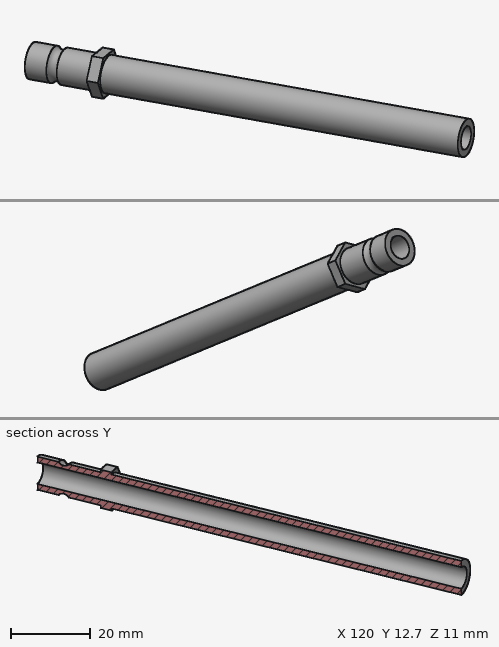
import cadquery as cq
import math

tube_length = 120.0
tube_diameter = 9.8
bore_diameter = 6.0

plug_diameter = 9.6

groove_start = 6.0
groove_width = 2.9
groove_depth = 0.7

collar_start = 17.9
collar_width = 3.1
collar_across_flats = 11.0


def cylinder_along_x(diameter, start, end):
    return cq.Workplane("YZ", origin=(start, 0, 0)).circle(diameter / 2).extrude(end - start)


def grooved_plug():
    """Plug turned about X, with the arc groove in its outline; it ends at the collar."""
    plug_radius = plug_diameter / 2
    groove_middle = groove_start + groove_width / 2
    groove_end = groove_start + groove_width
    outline = (
        cq.Workplane("XY")
        .moveTo(0, 0)
        .lineTo(0, plug_radius)
        .lineTo(groove_start, plug_radius)
        .threePointArc((groove_middle, plug_radius - groove_depth), (groove_end, plug_radius))
        .lineTo(collar_start, plug_radius)
        .lineTo(collar_start, 0)
        .close()
    )
    return outline.revolve(360, (0, 0, 0), (1, 0, 0))


def hex_collar():
    """Hexagonal prism whose corners point along +Y and -Y."""
    across_corners = collar_across_flats / math.cos(math.pi / 6)
    return (
        cq.Workplane("YZ", origin=(collar_start, 0, 0))
        .polygon(6, across_corners)
        .extrude(collar_width)
    )


tube = cylinder_along_x(tube_diameter, collar_start, tube_length)
bore = cylinder_along_x(bore_diameter, 0, tube_length)

result = grooved_plug().union(hex_collar()).union(tube).cut(bore)